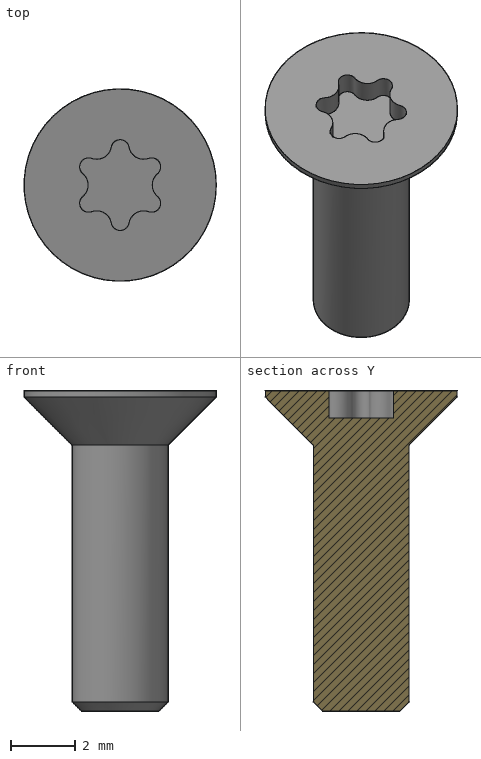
import cadquery as cq
import math

head_diameter = 6.0
shank_diameter = 3.0
total_length = 10.0
head_rim_height = 0.2
tip_chamfer = 0.3

lobe_count = 6
recess_outer_diameter = 2.83
recess_inner_diameter = 2.0
lobe_tip_radius = 0.28
recess_depth = 0.85

head_radius = head_diameter / 2
shank_radius = shank_diameter / 2
cone_height = head_radius - shank_radius
rim_bottom_z = total_length - head_rim_height
cone_bottom_z = rim_bottom_z - cone_height


def polar_point(radius, angle):
    return (radius * math.cos(angle), radius * math.sin(angle))


def make_screw_body():
    """Revolve the half profile of tip, shank and countersunk head about Z."""
    return (
        cq.Workplane("XZ")
        .moveTo(0, 0)
        .lineTo(shank_radius - tip_chamfer, 0)
        .lineTo(shank_radius, tip_chamfer)
        .lineTo(shank_radius, cone_bottom_z)
        .lineTo(head_radius, rim_bottom_z)
        .lineTo(head_radius, total_length)
        .lineTo(0, total_length)
        .close()
        .revolve(360, (0, 0, 0), (0, 1, 0))
    )


def make_drive_recess():
    """Six-lobe pocket: convex lobe arcs joined tangentially by concave flute arcs."""
    half_pitch = math.pi / lobe_count
    pitch = 2 * half_pitch
    outer_radius = recess_outer_diameter / 2
    inner_radius = recess_inner_diameter / 2
    lobe_center_radius = outer_radius - lobe_tip_radius

    lobe_center_on_flute_axis = lobe_center_radius * math.cos(half_pitch)
    flute_radius = (
        lobe_center_radius**2
        + inner_radius**2
        - 2 * inner_radius * lobe_center_on_flute_axis
        - lobe_tip_radius**2
    ) / (2 * (lobe_tip_radius - inner_radius + lobe_center_on_flute_axis))
    flute_center_radius = inner_radius + flute_radius

    flute_x, flute_y = polar_point(flute_center_radius, half_pitch)
    tip_share = lobe_tip_radius / (lobe_tip_radius + flute_radius)
    tangent_x = lobe_center_radius + tip_share * (flute_x - lobe_center_radius)
    tangent_y = tip_share * flute_y
    tangent_radius = math.hypot(tangent_x, tangent_y)
    tangent_angle = math.atan2(tangent_y, tangent_x)

    first_lobe_angle = math.pi / 2
    outline = cq.Workplane("XY", origin=(0, 0, total_length)).moveTo(
        *polar_point(tangent_radius, first_lobe_angle - tangent_angle)
    )
    for index in range(lobe_count):
        lobe_angle = first_lobe_angle + index * pitch
        flute_angle = lobe_angle + half_pitch
        next_lobe_angle = lobe_angle + pitch
        outline = outline.threePointArc(
            polar_point(outer_radius, lobe_angle),
            polar_point(tangent_radius, lobe_angle + tangent_angle),
        ).threePointArc(
            polar_point(inner_radius, flute_angle),
            polar_point(tangent_radius, next_lobe_angle - tangent_angle),
        )
    return outline.close().extrude(-recess_depth)


result = make_screw_body().cut(make_drive_recess())